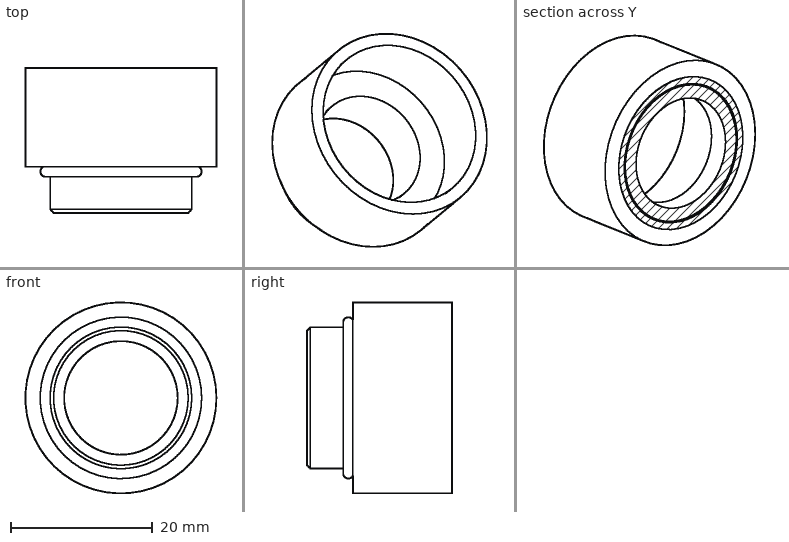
import cadquery as cq

body_diameter = 27.0
body_length = 14.0
neck_diameter = 20.0
neck_length = 6.5
neck_chamfer = 0.5
bore_diameter = 16.0
socket_diameter = 23.5
socket_depth = 11.0
ring_section_diameter = 1.5
ring_squeeze = 0.1

body_radius = body_diameter / 2
neck_radius = neck_diameter / 2
bore_radius = bore_diameter / 2
socket_radius = socket_diameter / 2
ring_section_radius = ring_section_diameter / 2
body_end_y = body_length
socket_floor_y = body_end_y - socket_depth
neck_end_y = -neck_length
ring_center_radius = neck_radius + ring_section_radius - ring_squeeze
ring_center_y = -(ring_section_radius - ring_squeeze)


def make_sleeve():
    """Body and chamfered neck with a stepped through bore, as one revolved profile."""
    return (
        cq.Workplane("XY")
        .moveTo(bore_radius, socket_floor_y)
        .lineTo(socket_radius, socket_floor_y)
        .lineTo(socket_radius, body_end_y)
        .lineTo(body_radius, body_end_y)
        .lineTo(body_radius, 0)
        .lineTo(neck_radius, 0)
        .lineTo(neck_radius, neck_end_y + neck_chamfer)
        .lineTo(neck_radius - neck_chamfer, neck_end_y)
        .lineTo(bore_radius, neck_end_y)
        .close()
        .revolve(360, (0, 0, 0), (0, 1, 0))
    )


def make_seal_ring():
    """Round-section ring seated in the corner between neck and shoulder."""
    return (
        cq.Workplane("XY")
        .center(ring_center_radius, ring_center_y)
        .circle(ring_section_radius)
        .revolve(360, (-ring_center_radius, 0, 0), (-ring_center_radius, 1, 0))
    )


result = make_sleeve().union(make_seal_ring())